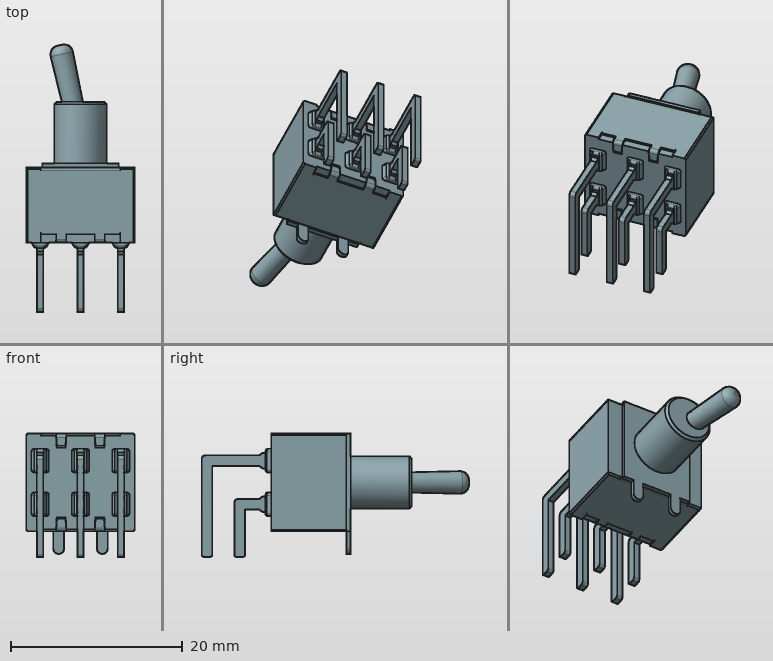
import cadquery as cq
import math


body_width = 12.7
body_depth = 8.77
body_height = 11.42
body_top = body_height / 2
body_chamfer = 0.2

cover_width = 9.26
cover_thickness = 0.24
cover_start = 0.96
cover_corner_radius = 0.18
cover_back_radius = 0.31
clip_pitch = 4.5
clip_root_width = 1.2
clip_end_width = 0.95
clip_length = 1.45
clip_bend_radius = 0.42
clip_pocket_root_width = 1.26
clip_pocket_end_width = 1.08
clip_pocket_length = 1.64

plate_width = 8.94
plate_thickness = 0.49
plate_back = body_depth + plate_thickness
leg_pitch = 5.08
leg_width = 1.28
leg_length = 2.64
leg_tip_radius = 0.499 * leg_width

bushing_diameter = 6.14
bushing_length = 7.16
bushing_chamfer = 0.31

lever_tilt = 12.5
lever_pivot_y = 12.15
lever_tip_y = 23.12
lever_root_diameter = 2.24
lever_end_diameter = 2.68
lever_tip_radius = 1.05

column_pitch = 4.7
row_pitch = 5.08
terminal_thickness = 0.75
terminal_width = 1.26
overall_height = 14.41
terminal_bottom = body_top - overall_height
long_reach = 8.1
reach_step = 3.81
short_reach = long_reach - reach_step
terminal_bend_radius = 0.45
terminal_end_radius = 0.28
neck_width = 1.84
neck_end = 1.0
neck_taper_end = 1.38
root_depth = 0.5
pad_base_width = 2.04
pad_shoulder_width = 1.44
pad_face_width = 0.84
pad_height = 2.78
pad_depth = 0.66
pad_shoulder_depth = 0.5
pad_end_radius = 0.32


def block(x_size, y_from, y_to, z_from, z_to, x_center=0):
    """Box centred on x_center between the given Y and Z limits."""
    return cq.Workplane("XY").box(x_size, y_to - y_from, z_to - z_from).translate(
        (x_center, (y_from + y_to) / 2, (z_from + z_to) / 2)
    )


def with_bottom_copy(shape):
    """The shape together with its mirror image below the XY plane."""
    return shape.union(shape.mirror("XY"))


def clip_blade(root_width, end_width, length, x_center):
    """Tapered blade hanging from the top edge, flush with the terminal face."""
    end_z = body_top - length
    outline = [
        (x_center - root_width / 2, body_top),
        (x_center + root_width / 2, body_top),
        (x_center + end_width / 2, end_z),
        (x_center - end_width / 2, end_z),
    ]
    return cq.Workplane("XZ").polyline(outline).close().extrude(-cover_thickness)


def make_body():
    body = block(body_width, 0, body_depth, -body_top, body_top)
    body = body.edges("|Y or (|X and >Y)").chamfer(body_chamfer)
    recesses = with_bottom_copy(
        block(cover_width, 0, body_depth, body_top - cover_thickness, body_top)
    )
    for x_center in (-clip_pitch / 2, clip_pitch / 2):
        pocket = clip_blade(
            clip_pocket_root_width, clip_pocket_end_width, clip_pocket_length, x_center
        )
        recesses = recesses.union(with_bottom_copy(pocket))
    return body.cut(recesses)


def make_cover():
    floor = body_top - cover_thickness
    sheet = block(cover_width, cover_start, body_depth, floor, body_top)
    sheet = sheet.edges("|Z and <Y").fillet(cover_corner_radius)
    back_fold = block(
        cover_width,
        body_depth - 2 * cover_back_radius,
        body_depth,
        body_top - 2 * cover_back_radius,
        body_top,
    )
    cover = sheet.union(back_fold).edges("|X and >Y and >Z").fillet(cover_back_radius)
    for x_center in (-clip_pitch / 2, clip_pitch / 2):
        strap = block(clip_root_width, 0, cover_start, floor, body_top, x_center)
        blade = clip_blade(clip_root_width, clip_end_width, clip_length, x_center)
        corner = block(
            clip_root_width, 0, clip_bend_radius, body_top - clip_bend_radius, body_top, x_center
        )
        outside = (
            block(clip_root_width, 0, cover_start, 0, body_top, x_center)
            .edges("|X and <Y and >Z")
            .fillet(clip_bend_radius)
        )
        cover = cover.union(strap.union(blade).union(corner).intersect(outside))
    return with_bottom_copy(cover)


def make_plate():
    plate = block(plate_width, body_depth, plate_back, -body_top, body_top)
    for x_center in (-leg_pitch / 2, leg_pitch / 2):
        leg = block(leg_width, body_depth, plate_back, -body_top - leg_length, 0, x_center)
        leg = leg.faces("<Z").edges("|Y").fillet(leg_tip_radius)
        plate = plate.union(leg)
    return plate


def make_bushing():
    bushing = cq.Workplane("XZ", origin=(0, plate_back, 0)).circle(bushing_diameter / 2)
    return bushing.extrude(-bushing_length).faces(">Y").chamfer(bushing_chamfer)


def make_lever():
    tilt = math.radians(lever_tilt)
    end_radius = lever_end_diameter / 2
    flat_radius = end_radius - lever_tip_radius
    rise = lever_tip_y - lever_pivot_y - lever_tip_radius - flat_radius * math.sin(tilt)
    cone_length = rise / math.cos(tilt)
    arc_offset = lever_tip_radius * math.sqrt(0.5)
    profile = (
        cq.Workplane("XY")
        .lineTo(lever_root_diameter / 2, 0)
        .lineTo(end_radius, cone_length)
        .threePointArc(
            (flat_radius + arc_offset, cone_length + arc_offset),
            (flat_radius, cone_length + lever_tip_radius),
        )
        .lineTo(0, cone_length + lever_tip_radius)
        .close()
    )
    lever = profile.revolve(360, (0, 0, 0), (0, 1, 0))
    lever = lever.rotate((0, 0, 0), (0, 0, 1), lever_tilt)
    return lever.translate((0, lever_pivot_y, 0))


def make_terminal(x_center, z_center, reach):
    """Flat L-shaped terminal with a wide neck, leg pointing down."""
    half_neck = neck_width / 2
    half_width = terminal_width / 2
    neck = (
        cq.Workplane("YZ")
        .moveTo(root_depth, half_neck)
        .lineTo(-neck_end, half_neck)
        .lineTo(-neck_taper_end, half_width)
        .lineTo(-neck_taper_end, -half_width)
        .lineTo(-neck_end, -half_neck)
        .lineTo(root_depth, -half_neck)
        .close()
        .extrude(terminal_thickness / 2, both=True)
        .translate((x_center, 0, z_center))
    )
    top = z_center + half_width
    arm = block(terminal_thickness, -reach, 0, z_center - half_width, top, x_center)
    leg = block(
        terminal_thickness, -reach, terminal_width - reach, terminal_bottom, top, x_center
    )
    leg = leg.edges("|X and <Z").fillet(terminal_end_radius)
    bent = arm.union(leg).edges("|X and <Y and >Z").fillet(terminal_bend_radius)
    return neck.union(bent)


def make_pad(x_center, z_center):
    """Boss with two-step sloping sides and rounded ends around a terminal root."""
    half_base = pad_base_width / 2
    half_shoulder = pad_shoulder_width / 2
    half_face = pad_face_width / 2
    outline = [
        (-half_base, 0),
        (half_base, 0),
        (half_shoulder, -pad_shoulder_depth),
        (half_face, -pad_depth),
        (-half_face, -pad_depth),
        (-half_shoulder, -pad_shoulder_depth),
    ]
    pad = cq.Workplane("XY").polyline(outline).close().extrude(pad_height / 2, both=True)
    pad = pad.faces("<Z or >Z").edges("not >Y").fillet(pad_end_radius)
    return pad.translate((x_center, 0, z_center))


result = make_body()
for feature in (make_cover(), make_plate(), make_bushing(), make_lever()):
    result = result.union(feature)
for column in (-1, 0, 1):
    for row, reach in ((1, long_reach), (-1, short_reach)):
        x_center = column * column_pitch
        z_center = row * row_pitch / 2
        result = result.union(make_pad(x_center, z_center))
        result = result.union(make_terminal(x_center, z_center, reach))